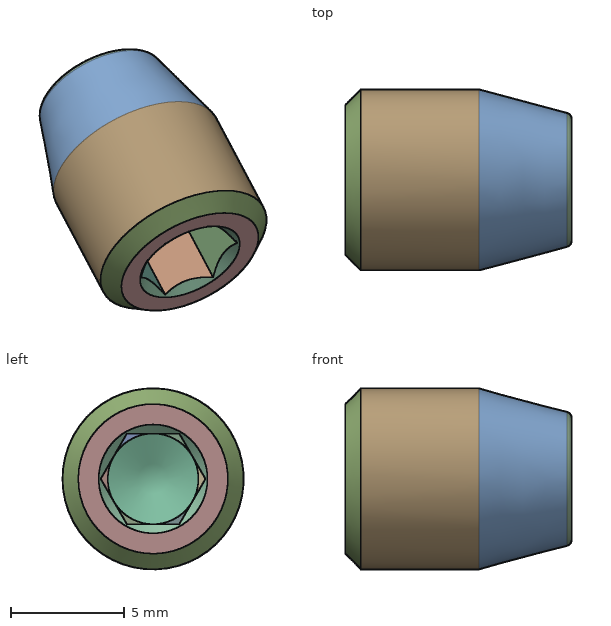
import cadquery as cq
import math

length = 10.0
body_diameter = 8.0
rear_chamfer = 0.7
cylinder_end = 5.9
taper_angle = 15.0
nose_rounding = 0.3

hex_across_flats = 4.0
socket_depth = 4.0
countersink_diameter = 4.8
countersink_half_angle = 45.0
floor_half_angle = 70.0

body_radius = body_diameter / 2
nose_radius = body_radius - (length - cylinder_end) * math.tan(math.radians(taper_angle))


def make_body():
    """Chamfered cylinder with a tapered, rounded nose."""
    half_profile = (
        cq.Workplane("XY")
        .moveTo(0, 0)
        .lineTo(0, body_radius - rear_chamfer)
        .lineTo(rear_chamfer, body_radius)
        .lineTo(cylinder_end, body_radius)
        .lineTo(length, nose_radius)
        .lineTo(length, 0)
        .close()
    )
    body = half_profile.revolve(360, (0, 0, 0), (1, 0, 0))
    return body.faces(">X").edges().fillet(nose_rounding)


def make_cone(start, base_radius, half_angle):
    """Cone whose base lies at X = start and whose tip points toward +X."""
    height = base_radius / math.tan(math.radians(half_angle))
    cone = cq.Solid.makeCone(base_radius, 0, height, cq.Vector(start, 0, 0), cq.Vector(1, 0, 0))
    return cq.Workplane(cone)


def make_socket():
    """Hexagon socket with flats facing +Z and -Z, a countersunk mouth and a conical floor."""
    across_corners = hex_across_flats / math.cos(math.pi / 6)
    hexagon = cq.Workplane("YZ").polygon(6, across_corners).extrude(socket_depth)
    mouth = make_cone(0, countersink_diameter / 2, countersink_half_angle)
    floor = make_cone(socket_depth, hex_across_flats / 2, floor_half_angle)
    return hexagon.union(mouth).union(floor)


result = make_body().cut(make_socket())